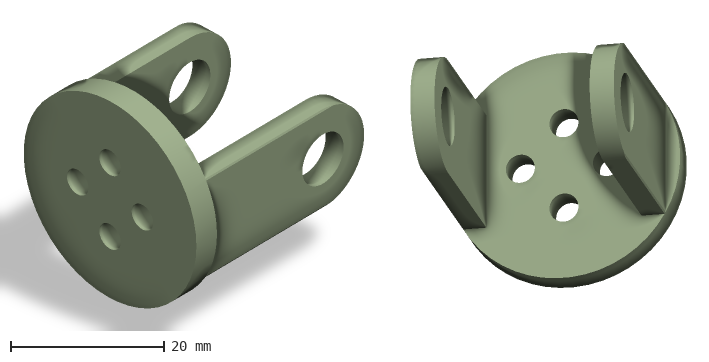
import cadquery as cq

disc_diameter = 31.2
disc_thickness = 3.9
total_length = 33.8
arm_inner_gap = 20.82
arm_thickness = 3.25
arm_width = disc_diameter / 2
pivot_diameter = arm_width / 2
mount_hole_diameter = 3.9
mount_circle_diameter = 11.7
mount_hole_count = 4

arm_end_radius = arm_width / 2
pivot_y = total_length - arm_end_radius


def disc_cylinder(length):
    """Cylinder of the disc's diameter, running from Y = 0 towards +Y."""
    return cq.Workplane("XZ").circle(disc_diameter / 2).extrude(-length)


def arm(inner_x):
    """Round-ended arm with a pivot hole, its lower-X face at inner_x."""
    profile = (
        cq.Workplane("YZ", origin=(inner_x, 0, 0))
        .moveTo(0, -arm_end_radius)
        .lineTo(pivot_y, -arm_end_radius)
        .threePointArc((total_length, 0), (pivot_y, arm_end_radius))
        .lineTo(0, arm_end_radius)
        .close()
    )
    pivot_hole = (
        cq.Workplane("YZ", origin=(inner_x, pivot_y, 0))
        .circle(pivot_diameter / 2)
        .extrude(arm_thickness)
    )
    return profile.extrude(arm_thickness).cut(pivot_hole)


right_arm = arm(arm_inner_gap / 2)
left_arm = arm(-arm_inner_gap / 2 - arm_thickness)
arms = right_arm.union(left_arm).intersect(disc_cylinder(total_length))

mount_holes = (
    cq.Workplane("XZ")
    .polarArray(mount_circle_diameter / 2, 0, 360, mount_hole_count)
    .circle(mount_hole_diameter / 2)
    .extrude(-disc_thickness)
)

result = disc_cylinder(disc_thickness).union(arms).cut(mount_holes)